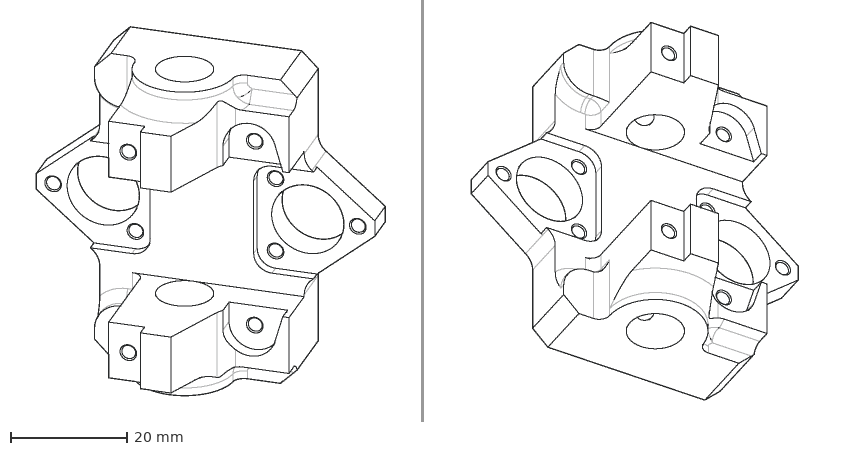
import cadquery as cq
import math


length = 61.0
height = 58.0
body_width = 36.85
plate_depth = 8.0
corner_chamfer = 3.0
ear_depth = 6.0
ear_tip_height = 3.0
ear_slope = 40.0
ear_root_radius = 3.9
ear_bore_dia = 13.0
ear_bolt_radius = 9.0
recess_corner_radius = 3.3

screw_dia = 2.5
countersink_dia = 3.0
drill_point_angle = 118.0

block_inner_z = 13.85
arm_outer_z = 24.5
bore_x = -1.5
bore_y = -13.0
bore_dia = 10.0
boss_radius = 9.0
boss_base_fillet = 3.0
pad_depth = 11.0
shoulder_depth = 12.0
small_fillet = 2.0

arm_depth = 27.65
arm_tip_depth = 30.0
arm_step_x = -4.1
arm_tip_x = 1.4
lug_depth = 16.6
lug_root_fillet = 3.0
arm_screw_x = -7.0
arm_screw_z = 19.15
arm_screw_depth = 10.0
set_screw_dia = 4.5
set_screw_z = 21.0

lug_screw_x = 11.4
lug_screw_z = 17.55
pocket_radius = 4.65
pocket_depth = 2.7
pocket_side_angle = 16.0

relief_wall_z = 19.0
relief_corner_radius = 5.0
relief_foot_fillet = 1.95

half_length = length / 2
half_height = height / 2
half_width = body_width / 2
arm_left_x = bore_x - boss_radius
ear_bore_x = half_width

overcut = 6.1
margin = 0.05


def both_halves(solid):
    """The solid together with its mirror image below Z = 0."""
    return solid.union(solid.mirror("XY"))


def forward(depth_from, depth_to, sketch):
    """Extrude an XZ outline toward -Y between two depths measured from the back."""
    return sketch(cq.Workplane("XZ", origin=(0, -depth_from, 0))).extrude(depth_to - depth_from)


def screw_hole(x, z, face_depth, hole_depth):
    """Countersunk screw hole running toward +Y from a front face."""
    sink = (countersink_dia - screw_dia) / 2
    drill = forward(face_depth - hole_depth, face_depth, lambda w: w.center(x, z).circle(screw_dia / 2))
    cone = cq.Solid.makeCone(
        countersink_dia / 2, screw_dia / 2, sink, cq.Vector(x, -face_depth, z), cq.Vector(0, 1, 0)
    )
    return drill.union(cq.Workplane(cone))


def plate():
    """Back plate: rectangle with an arrow-shaped ear on each side."""
    root_z = ear_tip_height / 2 + (half_length - half_width) * math.tan(math.radians(ear_slope))
    body = forward(0, plate_depth, lambda w: w.rect(body_width, height))
    ears = forward(
        0,
        plate_depth,
        lambda w: w.polyline(
            [
                (half_length, ear_tip_height / 2),
                (half_width, root_z),
                (-half_width, root_z),
                (-half_length, ear_tip_height / 2),
                (-half_length, -ear_tip_height / 2),
                (-half_width, -root_z),
                (half_width, -root_z),
                (half_length, -ear_tip_height / 2),
            ]
        ).close(),
    )
    corners = cq.selectors.BoxSelector(
        (-half_width - margin, -plate_depth, -root_z - margin), (half_width + margin, 0, root_z + margin)
    )
    return body.union(ears).edges("|Y").edges(corners).fillet(ear_root_radius)


def shoulder_corner_x():
    """X where the boss surface meets the shoulder wall."""
    return bore_x + math.sqrt(boss_radius**2 - (shoulder_depth + bore_y) ** 2)


def block():
    """Bearing block: left pad, round boss and right shoulder, full height."""
    corner_x = shoulder_corner_x()
    pad_fillet_y = -pad_depth - small_fillet
    outline = (
        cq.Workplane("XY", origin=(0, 0, block_inner_z))
        .moveTo(-half_width, 0)
        .lineTo(-half_width, -pad_depth)
        .lineTo(arm_left_x - small_fillet, -pad_depth)
        .radiusArc((arm_left_x, pad_fillet_y), small_fillet)
        .threePointArc((bore_x, bore_y - boss_radius), (corner_x, -shoulder_depth))
        .lineTo(half_width, -shoulder_depth)
        .lineTo(half_width, 0)
        .close()
    )
    return outline.extrude(half_height - block_inner_z)


def arm_prism(z_low, z_high):
    """Arm and lug outline; the slanted side is tangent to the boss."""
    tip_dx = arm_tip_x - bore_x
    tip_dy = -arm_tip_depth - bore_y
    slant = math.atan2(-tip_dy, -tip_dx) - math.asin(boss_radius / math.hypot(tip_dx, tip_dy))
    root_x = arm_tip_x + (arm_tip_depth - lug_depth) / math.tan(slant)
    outline = [
        (arm_left_x, 0),
        (arm_left_x, -arm_depth),
        (arm_step_x, -arm_depth),
        (arm_step_x, -arm_tip_depth),
        (arm_tip_x, -arm_tip_depth),
        (root_x, -lug_depth),
        (half_width, -lug_depth),
        (half_width, 0),
    ]
    solid = cq.Workplane("XY", origin=(0, 0, z_low)).polyline(outline).close().extrude(z_high - z_low)
    root = cq.selectors.NearestToPointSelector((root_x, -lug_depth, (z_low + z_high) / 2))
    return solid.edges("|Z").edges(root).fillet(lug_root_fillet)


def boss_base():
    """Concave flare from the boss down onto the arm, kept within the arm outline."""
    outer = boss_radius + boss_base_fillet
    top_z = arm_outer_z + boss_base_fillet
    flare = (
        cq.Workplane("XZ", origin=(bore_x, bore_y, 0))
        .moveTo(0, arm_outer_z)
        .lineTo(outer, arm_outer_z)
        .radiusArc((boss_radius, top_z), boss_base_fillet)
        .lineTo(0, top_z)
        .close()
        .revolve(360, (0, 0, 0), (0, 1, 0))
    )
    return flare.intersect(arm_prism(arm_outer_z, top_z))


def shoulder_base():
    """Concave fillet between the lug end and the shoulder wall."""
    return (
        cq.Workplane("YZ", origin=(bore_x, 0, 0))
        .moveTo(-shoulder_depth, arm_outer_z)
        .lineTo(-shoulder_depth - small_fillet, arm_outer_z)
        .radiusArc((-shoulder_depth, arm_outer_z + small_fillet), -small_fillet)
        .close()
        .extrude(half_width - bore_x)
    )


def shoulder_corner():
    """Selector for the inside corner between the boss with its flare and the shoulder."""
    corner_x = shoulder_corner_x()
    return cq.selectors.BoxSelector(
        (corner_x - margin, -shoulder_depth - small_fillet, arm_outer_z + margin),
        (corner_x + boss_base_fillet, -shoulder_depth + margin, half_height),
    )


def relief():
    """Pocket that lowers the left pad to the plate face, rounded at its foot."""
    arc_x = -half_width + relief_corner_radius
    arc_z = relief_wall_z + relief_corner_radius
    low_z = block_inner_z - overcut
    tool = forward(
        plate_depth,
        arm_tip_depth,
        lambda w: w.moveTo(arm_left_x, low_z)
        .lineTo(arm_left_x, relief_wall_z - small_fillet)
        .radiusArc((arm_left_x - small_fillet, relief_wall_z), -small_fillet)
        .lineTo(arc_x, relief_wall_z)
        .radiusArc((-half_width, arc_z), relief_corner_radius)
        .lineTo(-half_width - overcut, arc_z)
        .lineTo(-half_width - overcut, low_z)
        .close(),
    )
    foot = cq.selectors.NearestToPointSelector((arm_left_x, -plate_depth, block_inner_z))
    return tool.edges(">Y").edges(foot).fillet(relief_foot_fillet)


def lug_pocket():
    """Open-ended pocket around the lug screw, with one slanted side."""
    angle = math.radians(pocket_side_angle)
    right_x = lug_screw_x + pocket_radius * math.cos(angle)
    right_z = lug_screw_z + pocket_radius * math.sin(angle)
    low_z = block_inner_z - overcut
    low_right_x = right_x + (right_z - low_z) * math.tan(angle)
    left_x = lug_screw_x - pocket_radius
    return forward(
        lug_depth - pocket_depth,
        arm_tip_depth,
        lambda w: w.moveTo(left_x, low_z)
        .lineTo(left_x, lug_screw_z)
        .threePointArc((lug_screw_x, lug_screw_z + pocket_radius), (right_x, right_z))
        .lineTo(low_right_x, low_z)
        .close(),
    )


def arm_screw():
    """Blind screw hole in the arm front, ending in a drill point."""
    point_length = screw_dia / 2 / math.tan(math.radians(drill_point_angle / 2))
    bottom = cq.Vector(arm_screw_x, -arm_depth + arm_screw_depth, arm_screw_z)
    point = cq.Solid.makeCone(screw_dia / 2, 0, point_length, bottom, cq.Vector(0, 1, 0))
    return screw_hole(arm_screw_x, arm_screw_z, arm_depth, arm_screw_depth).union(cq.Workplane(point))


def set_screw():
    """Screw hole from the back into the bearing bore."""
    return forward(0, -bore_y, lambda w: w.center(bore_x, set_screw_z).circle(set_screw_dia / 2))


def lug_screw():
    """Screw hole from the pocket floor through to the back."""
    floor_depth = lug_depth - pocket_depth
    return screw_hole(lug_screw_x, lug_screw_z, floor_depth, floor_depth)


def upper_block():
    """Upper bearing block with its arm, lug, bore and arm screw hole."""
    solid = block().union(arm_prism(block_inner_z, arm_outer_z))
    solid = solid.union(boss_base()).union(shoulder_base())
    bore = (
        cq.Workplane("XY", origin=(bore_x, bore_y, block_inner_z))
        .circle(bore_dia / 2)
        .extrude(half_height - block_inner_z)
    )
    solid = solid.edges(shoulder_corner()).fillet(small_fillet)
    for tool in (relief(), lug_pocket(), bore, arm_screw()):
        solid = solid.cut(tool)
    return solid


def ear_cuts(side):
    """Recess, large bore and three screw holes of one ear; side is -1 or +1."""
    bolt_angle = math.radians(90 - ear_slope)
    inner_x = ear_bore_x - ear_bolt_radius * math.cos(bolt_angle)
    inner_z = ear_bolt_radius * math.sin(bolt_angle)
    recess_x = inner_x - recess_corner_radius
    recess_half = inner_z + recess_corner_radius
    recess_width = half_length + overcut - recess_x
    recess = forward(
        ear_depth,
        plate_depth,
        lambda w: w.center(side * (recess_x + recess_width / 2), 0).rect(recess_width, 2 * recess_half),
    )
    recess = recess.edges("|Y").fillet(recess_corner_radius)
    bore = forward(0, ear_depth, lambda w: w.center(side * ear_bore_x, 0).circle(ear_bore_dia / 2))
    cuts = recess.union(bore)
    for x, z in ((inner_x, inner_z), (inner_x, -inner_z), (ear_bore_x + ear_bolt_radius, 0)):
        cuts = cuts.union(screw_hole(side * x, z, ear_depth, ear_depth))
    return cuts


def corner_cut(side):
    """Triangular prism that bevels one upper corner; side is -1 or +1."""
    return forward(
        0,
        arm_tip_depth,
        lambda w: w.polyline(
            [
                (side * half_width, half_height),
                (side * (half_width - corner_chamfer), half_height),
                (side * half_width, half_height - corner_chamfer),
            ]
        ).close(),
    )


result = plate().union(both_halves(upper_block()))
result = result.cut(both_halves(set_screw())).cut(both_halves(lug_screw()))
for side in (-1, 1):
    result = result.cut(ear_cuts(side)).cut(both_halves(corner_cut(side)))